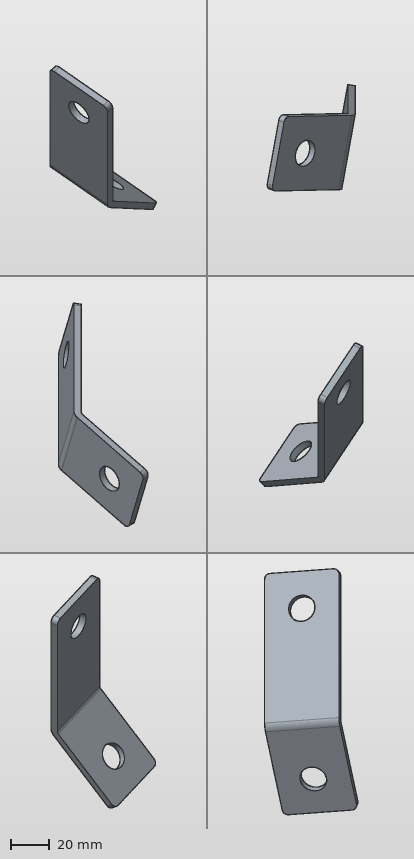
import cadquery as cq
import math

height = 120.0
width = 40.0
thickness = 4.0
bend_angle = 45.0
inner_bend_radius = 2.0
lower_leg_length = 49.9
corner_radius = 3.0
hole_diameter = 14.0
hole_end_distance = 20.0

outer_bend_radius = inner_bend_radius + thickness
bend_sin = math.sin(math.radians(bend_angle))
bend_cos = math.cos(math.radians(bend_angle))
bend_end_y = outer_bend_radius * (1 - bend_cos)
bend_end_z = -outer_bend_radius * bend_sin
lower_end_y = bend_end_y + lower_leg_length * bend_sin
lower_end_z = bend_end_z - lower_leg_length * bend_cos
upper_leg_length = height + lower_end_z


def flat_leg(length):
    """Leg rising from Z = 0 with its outer face on Y = 0, rounded end corners and a hole."""
    leg = cq.Workplane("XY").box(width, thickness, length, centered=(True, False, False))
    leg = leg.faces(">Z").edges("|Y").fillet(corner_radius)
    hole = (
        cq.Workplane("XZ")
        .center(0, length - hole_end_distance)
        .circle(hole_diameter / 2)
        .extrude(-thickness)
    )
    return leg.cut(hole)


def bend():
    """Curved strip joining the two legs, centred on the bend axis."""
    section = cq.Workplane("XY").center(0, thickness / 2).rect(width, thickness)
    return section.revolve(
        bend_angle, (-width, outer_bend_radius - thickness / 2), (width, outer_bend_radius - thickness / 2)
    )


upper_leg = flat_leg(upper_leg_length)

lower_leg = (
    flat_leg(lower_leg_length)
    .mirror("XY")
    .rotate((0, 0, 0), (1, 0, 0), bend_angle)
    .translate((0, bend_end_y, bend_end_z))
)

result = upper_leg.union(bend()).union(lower_leg)